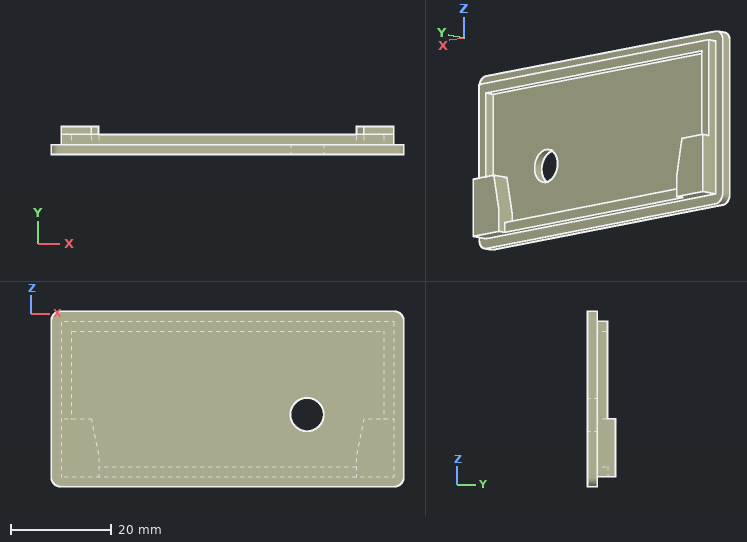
import cadquery as cq

plate_width = 70.3
plate_height = 35.0
plate_thickness = 2.0
corner_radius = 2.0

rim_inset = 2.0
rim_depth = 2.0
rim_wall = 2.0
rim_width = plate_width - 2 * rim_inset
rim_height = plate_height - 2 * rim_inset
rim_side = rim_width / 2
rim_bottom = -rim_height / 2

block_rise = 1.6
block_depth = rim_depth + block_rise
block_height = 11.6
block_top_width = 6.0
block_width = 7.5
slope_height = 7.4

hole_diameter = 6.6
hole_from_right = 19.3
hole_from_bottom = 14.4
hole_x = plate_width / 2 - hole_from_right
hole_z = -plate_height / 2 + hole_from_bottom


def back_sketch_plane():
    """XZ plane on the back of the plate; it faces -Y, so negative extrusions go toward +Y."""
    return cq.Workplane("XZ", origin=(0, plate_thickness, 0))


def make_plate():
    """Flat plate with rounded corners and a through hole."""
    plate = cq.Workplane("XY").box(
        plate_width, plate_thickness, plate_height, centered=(True, False, True)
    )
    hole = cq.Workplane("XZ").center(hole_x, hole_z).circle(hole_diameter / 2).extrude(-plate_thickness)
    return plate.edges("|Y").fillet(corner_radius).cut(hole)


def make_rim():
    """Sharp-cornered rectangular frame standing on the back of the plate."""
    outer = back_sketch_plane().rect(rim_width, rim_height)
    frame = outer.rect(rim_width - 2 * rim_wall, rim_height - 2 * rim_wall)
    return frame.extrude(-rim_depth)


def make_block(side):
    """Lower corner block with a steep inner slope; side is -1 (left) or +1 (right)."""
    block_top = rim_bottom + block_height
    outer_x = side * rim_side
    slope_start_x = side * (rim_side - block_top_width)
    inner_x = side * (rim_side - block_width)
    outline = [
        (outer_x, rim_bottom),
        (outer_x, block_top),
        (slope_start_x, block_top),
        (inner_x, block_top - slope_height),
        (inner_x, rim_bottom),
    ]
    return back_sketch_plane().polyline(outline).close().extrude(-block_depth)


result = make_plate().union(make_rim())
for side in (-1, 1):
    result = result.union(make_block(side))